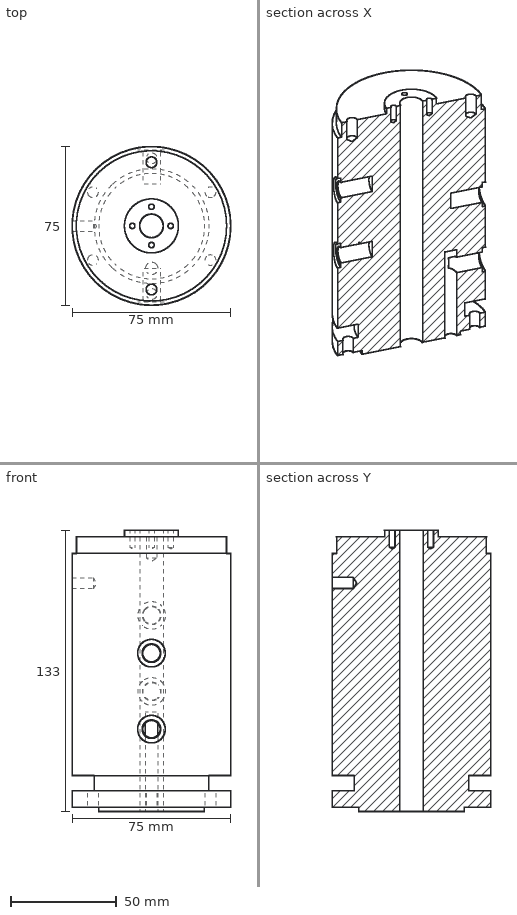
import cadquery as cq
import math

body_diameter = 75.0
body_height = 105.0
spigot_diameter = 50.0
spigot_height = 2.0
flange_height = 8.0
neck_diameter = 54.3
neck_height = 7.0
lid_diameter = 71.0
lid_height = 8.0
boss_diameter = 25.5
boss_height = 3.0
sections = [
    (spigot_diameter, spigot_height),
    (body_diameter, flange_height),
    (neck_diameter, neck_height),
    (body_diameter, body_height),
    (lid_diameter, lid_height),
    (boss_diameter, boss_height),
]
total_height = sum(height for _, height in sections)
flange_top = spigot_height + flange_height
lid_top = total_height - boss_height
body_radius = body_diameter / 2

UP = (0, 0, 1)
DOWN = (0, 0, -1)

bore_diameter = 11.0
drill_point_angle = 118
boss_hole_diameter = 2.5
boss_hole_circle_radius = 9.0
boss_hole_depth = 8.0
boss_hole_count = 4
lid_hole_diameter = 5.0
lid_hole_circle_radius = 30.0
lid_hole_depth = 10.0
lid_hole_count = 2
flange_hole_diameter = 5.0
flange_hole_circle_radius = 32.0
flange_hole_count = 6
side_hole_diameter = 5.0
side_hole_depth = 10.0
side_hole_height = 108.0

lowest_port_height = 39.0
port_step = 18.0
front_port_heights = [lowest_port_height, lowest_port_height + 2 * port_step]
back_port_heights = [height + port_step for height in front_port_heights]
spotface_diameter = 13.0
spotface_depth = 1.6
port_diameter = 8.2
port_depth = 17.5
port_chamfer = 0.3

channel_diameter = 5.9
channel_top = lowest_port_height + port_diameter
channel_offset = body_radius - port_depth


def cylinder(diameter, length, start, direction):
    solid = cq.Solid.makeCylinder(diameter / 2, length, cq.Vector(*start), cq.Vector(*direction))
    return cq.Workplane(solid)


def cone(start_diameter, end_diameter, length, start, direction):
    solid = cq.Solid.makeCone(
        start_diameter / 2, end_diameter / 2, length, cq.Vector(*start), cq.Vector(*direction)
    )
    return cq.Workplane(solid)


def blind_hole(diameter, depth, start, direction):
    """Cylinder of the given depth that ends in a conical drill point."""
    point_length = diameter / 2 / math.tan(math.radians(drill_point_angle / 2))
    point_start = [place + depth * step for place, step in zip(start, direction)]
    point = cone(diameter, 0, point_length, point_start, direction)
    return cylinder(diameter, depth, start, direction).union(point)


def circle_places(radius, count):
    """Evenly spaced (x, y) places on a circle, the first one toward -Y."""
    angles = [2 * math.pi * i / count - math.pi / 2 for i in range(count)]
    return [(radius * math.cos(angle), radius * math.sin(angle)) for angle in angles]


def port(height, side):
    """Spotface, chamfer and blind port bore; side is -1 for the front row and +1 for the back row."""
    inward = (0, -side, 0)
    start = (0, side * body_radius, height)
    seat = (0, side * (body_radius - spotface_depth), height)
    spotface = cylinder(spotface_diameter, spotface_depth, start, inward)
    chamfer = cone(port_diameter + 2 * port_chamfer, port_diameter, port_chamfer, seat, inward)
    port_bore = cylinder(port_diameter, port_depth, start, inward)
    return spotface.union(chamfer).union(port_bore)


stack = cq.Workplane("XY")
level = 0
for diameter, height in sections:
    stack = stack.union(cylinder(diameter, height, (0, 0, level), UP))
    level += height

result = stack.cut(cylinder(bore_diameter, total_height, (0, 0, 0), UP))

for x, y in circle_places(boss_hole_circle_radius, boss_hole_count):
    result = result.cut(blind_hole(boss_hole_diameter, boss_hole_depth, (x, y, total_height), DOWN))
for x, y in circle_places(lid_hole_circle_radius, lid_hole_count):
    result = result.cut(blind_hole(lid_hole_diameter, lid_hole_depth, (x, y, lid_top), DOWN))

for x, y in circle_places(flange_hole_circle_radius, flange_hole_count):
    result = result.cut(cylinder(flange_hole_diameter, flange_height, (x, y, flange_top), DOWN))

side_hole_start = (-body_radius, 0, side_hole_height)
result = result.cut(blind_hole(side_hole_diameter, side_hole_depth, side_hole_start, (1, 0, 0)))

for height in front_port_heights:
    result = result.cut(port(height, -1))
for height in back_port_heights:
    result = result.cut(port(height, 1))
result = result.cut(cylinder(channel_diameter, channel_top, (0, -channel_offset, 0), UP))